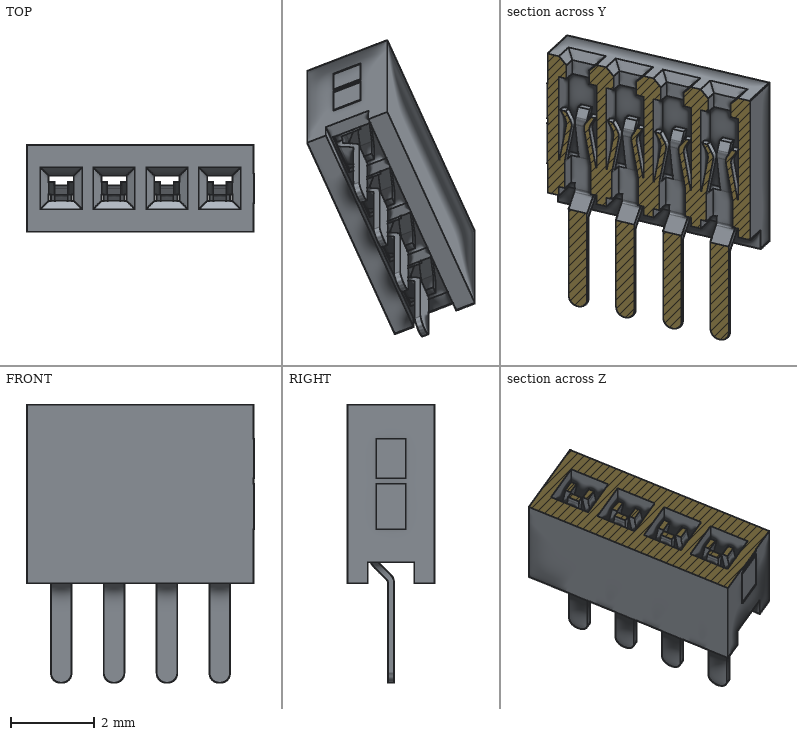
import cadquery as cq
import math


contact_count = 4
pitch = 1.27

housing_length = 5.45
housing_width = 2.1
housing_height = 4.3
channel_width = 1.11
channel_depth = 0.5

end_plate_height = 0.02
end_plate_inset = 0.0035

pad_height = 0.02
pad_width = 0.71
upper_pad_length = 0.945
lower_pad_length = 1.085
pad_gap = 0.14
upper_pad_top = housing_height - 0.825

mouth_size = 1.005
throat_size = 0.6
lead_in_depth = (mouth_size - throat_size) / 2
throat_depth = 0.375
cavity_size = 1.005
cavity_top = housing_height - lead_in_depth - throat_depth

sheet = 0.155
tail_width = 0.5
tail_length = 2.4
tail_tip_radius = 0.24
bend_start = 0.015
bend_radius = 0.19
bend_angle = math.radians(45)

cage_inside = cavity_size / 2 - sheet
cage_bottom = 0.74
cage_top = 1.475
finger_width = 0.31
grip_reach = 0.15
grip_height = 2.545
grip_radius = 0.27
tip_reach = 0.32
tip_flare_angle = math.radians(30)
tip_height = grip_height + (tip_reach - grip_reach) / math.tan(tip_flare_angle)

socket_positions = [(i - (contact_count - 1) / 2) * pitch for i in range(contact_count)]


def upright_box(length, width, bottom, top):
    """Box centred on the Z axis between two heights."""
    return cq.Workplane("XY").workplane(offset=bottom).rect(length, width).extrude(top - bottom)


def make_socket_void():
    """Tapered mouth, square throat and wider chamber down to the channel."""
    mouth = (
        cq.Workplane("XY")
        .workplane(offset=housing_height - lead_in_depth)
        .rect(throat_size, throat_size)
        .workplane(offset=lead_in_depth)
        .rect(mouth_size, mouth_size)
        .loft(ruled=True)
    )
    throat = upright_box(throat_size, throat_size, channel_depth, housing_height - lead_in_depth)
    cavity = upright_box(cavity_size, cavity_size, channel_depth, cavity_top)
    return mouth.union(throat).union(cavity)


def make_end_pad(top, length):
    """Low rectangular pad on the +X end face."""
    end_face = housing_length / 2
    return upright_box(pad_height, pad_width, top - length, top).translate((end_face + pad_height / 2, 0, 0))


def make_channelled_block(length, inset=0):
    """Housing section along X; the inset moves every outline edge into the material."""
    block = upright_box(length, housing_width - 2 * inset, inset, housing_height - inset)
    return block.cut(upright_box(length, channel_width + 2 * inset, 0, channel_depth + inset))


def make_housing():
    housing = make_channelled_block(housing_length)
    socket_void = make_socket_void()
    for x in socket_positions:
        housing = housing.cut(socket_void.translate((x, 0, 0)))

    end_plate = make_channelled_block(end_plate_height, end_plate_inset)
    housing = housing.union(end_plate.translate((-(housing_length + end_plate_height) / 2, 0, 0)))

    lower_pad_top = upper_pad_top - upper_pad_length - pad_gap
    housing = housing.union(make_end_pad(upper_pad_top, upper_pad_length))
    return housing.union(make_end_pad(lower_pad_top, lower_pad_length))


def make_tail():
    """Strip with a rounded tip that jogs toward -Y and rises along the front cavity wall."""
    wall_offset = cage_inside + sheet / 2
    arc_shift = bend_radius * (1 - math.cos(bend_angle))
    arc_rise = bend_radius * math.sin(bend_angle)
    slope_shift = wall_offset - 2 * arc_shift
    slope_rise = slope_shift / math.tan(bend_angle)

    path = (
        cq.Workplane("YZ")
        .moveTo(0, -tail_length)
        .lineTo(0, bend_start)
        .tangentArcPoint((-arc_shift, arc_rise))
        .line(-slope_shift, slope_rise)
        .tangentArcPoint((-arc_shift, arc_rise))
        .lineTo(-wall_offset, cage_top)
    )
    strip = cq.Workplane("XY").workplane(offset=-tail_length).rect(tail_width, sheet).sweep(path)
    return strip.faces("<Z").edges("|Y").fillet(tail_tip_radius)


def make_cage():
    """U-shaped wall against the cavity, open on the +Y side."""
    cage = upright_box(cavity_size, cavity_size, cage_bottom, cage_top)
    cage = cage.cut(upright_box(2 * cage_inside, 2 * cage_inside, cage_bottom, cage_top))
    open_side_depth = (cavity_size - finger_width) / 2
    open_side = upright_box(cavity_size, open_side_depth, cage_bottom, cage_top)
    return cage.cut(open_side.translate((0, (finger_width + open_side_depth) / 2, 0)))


def make_finger():
    """Spring finger on the +X side, leaning in to a rounded grip and flaring out at its tip."""
    inner_face = [
        (cage_inside, cage_top),
        (grip_reach, grip_height),
        (tip_reach, tip_height),
    ]
    outer_face = [(reach + sheet, height) for reach, height in reversed(inner_face)]
    finger = cq.Workplane("XZ").polyline(inner_face + outer_face).close().extrude(finger_width / 2, both=True)
    return finger.edges("|Y and (not >Z) and (not <Z)").fillet(grip_radius)


def make_contact():
    contact = make_tail().union(make_cage())
    finger = make_finger()
    for angle in (0, 180, 270):
        contact = contact.union(finger.rotate((0, 0, 0), (0, 0, 1), angle))
    return contact


result = make_housing()
contact = make_contact()
for x in socket_positions:
    result = result.union(contact.translate((x, 0, 0)))